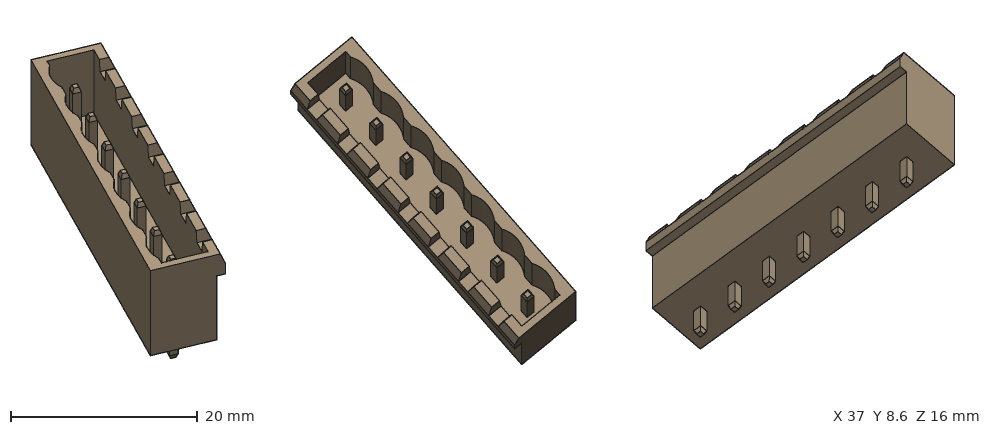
import cadquery as cq

LENGTH = 37.0
BODY_DEPTH = 7.6
OVERALL_DEPTH = 8.6
BODY_HEIGHT = 12.0

LIP_HEIGHT = 3.0
LIP_BEVEL_DEPTH = 0.6
LIP_BEVEL_HEIGHT = 1.5

END_WALL = 0.8
FRONT_WALL = 1.55
REAR_WALL = 0.7
FLOOR_THICKNESS = 3.0

CONTACT_COUNT = 7
END_MARGIN_IN_PITCHES = 0.7
PITCH = LENGTH / (CONTACT_COUNT - 1 + 2 * END_MARGIN_IN_PITCHES)

SCALLOP_WIDTH = 3.77
SCALLOP_DEPTH = 0.55

NOTCH_TOP_WIDTH = 2.0
NOTCH_FLOOR_WIDTH = 1.5
NOTCH_DEPTH = LIP_BEVEL_HEIGHT

PIN_WIDTH = 1.0
PIN_TIP_WIDTH = 0.6
PIN_TAPER = 0.6
PIN_TAIL = 4.0
PIN_TOP = 10.0

POCKET_BACK = BODY_DEPTH - REAR_WALL
POCKET_DEPTH = BODY_HEIGHT - FLOOR_THICKNESS
CONTACT_XS = [(i - (CONTACT_COUNT - 1) / 2) * PITCH for i in range(CONTACT_COUNT)]


def make_housing():
    """Solid block with the beveled lip overhanging the rear face."""
    profile = [
        (0, 0),
        (BODY_DEPTH, 0),
        (BODY_DEPTH, BODY_HEIGHT - LIP_HEIGHT),
        (OVERALL_DEPTH, BODY_HEIGHT - LIP_HEIGHT),
        (OVERALL_DEPTH, BODY_HEIGHT - LIP_BEVEL_HEIGHT),
        (OVERALL_DEPTH - LIP_BEVEL_DEPTH, BODY_HEIGHT),
        (0, BODY_HEIGHT),
    ]
    return cq.Workplane("YZ").polyline(profile).close().extrude(LENGTH / 2, both=True)


def make_pocket():
    """Pocket volume whose front side bulges into one shallow arc per contact."""
    half_length = LENGTH / 2 - END_WALL
    outline = (
        cq.Workplane("XY", origin=(0, 0, FLOOR_THICKNESS))
        .moveTo(-half_length, POCKET_BACK)
        .lineTo(-half_length, FRONT_WALL)
    )
    for x in CONTACT_XS:
        outline = outline.lineTo(x - SCALLOP_WIDTH / 2, FRONT_WALL)
        outline = outline.threePointArc(
            (x, FRONT_WALL - SCALLOP_DEPTH),
            (x + SCALLOP_WIDTH / 2, FRONT_WALL),
        )
    outline = outline.lineTo(half_length, FRONT_WALL).lineTo(half_length, POCKET_BACK)
    return outline.close().extrude(POCKET_DEPTH)


def make_notch(x):
    """Trapezoidal notch volume running from the pocket out through the lip."""
    floor_z = BODY_HEIGHT - NOTCH_DEPTH
    profile = [
        (x - NOTCH_TOP_WIDTH / 2, BODY_HEIGHT),
        (x - NOTCH_FLOOR_WIDTH / 2, floor_z),
        (x + NOTCH_FLOOR_WIDTH / 2, floor_z),
        (x + NOTCH_TOP_WIDTH / 2, BODY_HEIGHT),
    ]
    rear_plane = cq.Workplane("XZ", origin=(0, OVERALL_DEPTH, 0))
    return rear_plane.polyline(profile).close().extrude(OVERALL_DEPTH - POCKET_BACK)


def make_pin(x):
    """Square pin through the pocket floor, tapered at both ends."""
    shank_bottom = PIN_TAPER - PIN_TAIL
    shank_top = PIN_TOP - PIN_TAPER
    return (
        cq.Workplane("XY", origin=(x, BODY_DEPTH / 2, shank_bottom))
        .rect(PIN_WIDTH, PIN_WIDTH)
        .extrude(shank_top - shank_bottom)
        .faces(">Z").workplane()
        .rect(PIN_WIDTH, PIN_WIDTH)
        .workplane(offset=PIN_TAPER)
        .rect(PIN_TIP_WIDTH, PIN_TIP_WIDTH)
        .loft()
        .faces("<Z").workplane()
        .rect(PIN_WIDTH, PIN_WIDTH)
        .workplane(offset=PIN_TAPER)
        .rect(PIN_TIP_WIDTH, PIN_TIP_WIDTH)
        .loft()
    )


result = make_housing().cut(make_pocket())
for contact_x in CONTACT_XS:
    result = result.cut(make_notch(contact_x))
for contact_x in CONTACT_XS:
    result = result.union(make_pin(contact_x))